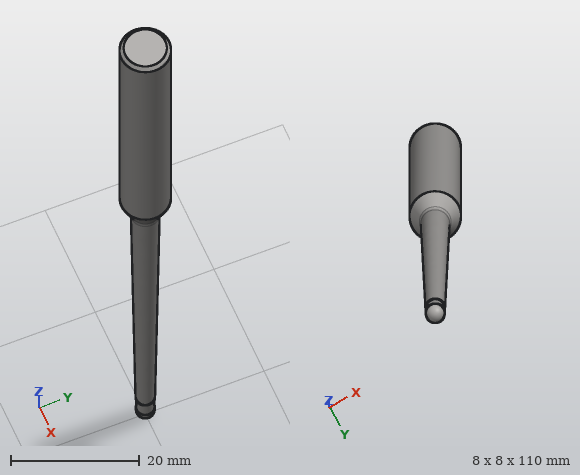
import cadquery as cq
import math

total_length = 110.0

shank_diameter = 8.0
shank_length = 45.0
chamfer_size = 0.7

shoulder_length = 5.0
cone_half_angle = math.radians(22)

taper_top_diameter = 4.5
taper_bottom_diameter = 3.1
taper_bottom_z = 5.1
relief_diameter = 2.9

ball_diameter = 3.0
head_length = 2.1

ball_radius = ball_diameter / 2
shank_radius = shank_diameter / 2
shank_bottom_z = total_length - shank_length
taper_top_z = shank_bottom_z - shoulder_length


def make_head():
    """Hemispherical tip with a short cylindrical land, flat on top."""
    diagonal = ball_radius * math.sqrt(0.5)
    profile = (
        cq.Workplane("XZ")
        .moveTo(0, 0)
        .threePointArc((diagonal, ball_radius - diagonal), (ball_radius, ball_radius))
        .lineTo(ball_radius, head_length)
        .lineTo(0, head_length)
        .close()
    )
    return profile.revolve(360, (0, 0, 0), (0, 1, 0))


def make_shank():
    """Relief, tapered neck, shoulder and chamfered shank, resting on the head."""
    relief_radius = relief_diameter / 2
    taper_top_radius = taper_top_diameter / 2

    sharp_rise = shoulder_length * math.tan(cone_half_angle)
    step = shank_radius - taper_top_radius
    blend_radius = (sharp_rise - step) / (1 / math.cos(cone_half_angle) - 1)

    def blend_point(angle):
        return (
            taper_top_radius + blend_radius * (1 - math.cos(angle)),
            taper_top_z + blend_radius * math.sin(angle),
        )

    profile = (
        cq.Workplane("XZ")
        .moveTo(0, head_length)
        .lineTo(relief_radius, head_length)
        .lineTo(relief_radius, taper_bottom_z)
        .lineTo(taper_bottom_diameter / 2, taper_bottom_z)
        .lineTo(taper_top_radius, taper_top_z)
        .threePointArc(blend_point(cone_half_angle / 2), blend_point(cone_half_angle))
        .lineTo(shank_radius, shank_bottom_z)
        .lineTo(shank_radius, total_length - chamfer_size)
        .lineTo(shank_radius - chamfer_size, total_length)
        .lineTo(0, total_length)
        .close()
    )
    return profile.revolve(360, (0, 0, 0), (0, 1, 0))


head = make_head()
shank = make_shank()

result = cq.Compound.makeCompound([head.val(), shank.val()])